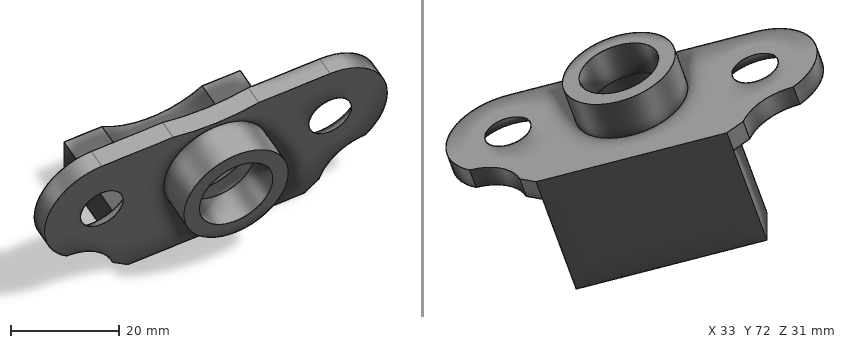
import cadquery as cq
import math

length = 71.95
total_depth = 33.0
height = 31.0

ledge_depth = 21.0
plate_thickness = 4.1
plate_back = ledge_depth + plate_thickness
end_radius = 12.0
end_y = length / 2 - end_radius
end_z = height - end_radius
dip_half_width = 9.0
dip_depth = 0.9

scoop_outer_y = 31.4
scoop_inner_y = 21.65
scoop_inner_z = 2.4
scoop_radius = 10.4

ledge_half_width = 18.5
ledge_height = 9.1
trough_half_width = 10.5
trough_depth = 3.0

screw_radius = 4.45
screw_sink_radius = 8.5

bore_z = 18.2
boss_radius = 10.9
bore_radius = 7.7
bore_sink_radius = 10.65
bore_sink_depth = 4.95


def minor_arc_middle(start, end, radius):
    """Middle of the minor arc that bulges to the left of the line from start to end."""
    dy = end[0] - start[0]
    dz = end[1] - start[1]
    chord = math.hypot(dy, dz)
    bulge = radius - math.sqrt(radius**2 - (chord / 2) ** 2)
    middle_y = (start[0] + end[0]) / 2 - bulge * dz / chord
    middle_z = (start[1] + end[1]) / 2 + bulge * dy / chord
    return (middle_y, middle_z)


def mirrored(point):
    return (-point[0], point[1])


def make_plate():
    scoop_inner = (scoop_inner_y, scoop_inner_z)
    outer_drop = math.sqrt(end_radius**2 - (scoop_outer_y - end_y) ** 2)
    scoop_outer = (scoop_outer_y, end_z - outer_drop)
    scoop_middle = minor_arc_middle(scoop_inner, scoop_outer, scoop_radius)
    end_tip = (length / 2, end_z)
    end_top = (end_y, height)
    return (
        cq.Workplane("YZ", origin=(ledge_depth, 0, 0))
        .moveTo(-ledge_half_width, 0)
        .lineTo(ledge_half_width, 0)
        .lineTo(*scoop_inner)
        .threePointArc(scoop_middle, scoop_outer)
        .threePointArc(end_tip, end_top)
        .lineTo(dip_half_width, height)
        .threePointArc((0, height - dip_depth), (-dip_half_width, height))
        .lineTo(*mirrored(end_top))
        .threePointArc(mirrored(end_tip), mirrored(scoop_outer))
        .threePointArc(mirrored(scoop_middle), mirrored(scoop_inner))
        .close()
        .extrude(plate_thickness)
    )


def make_ledge():
    return (
        cq.Workplane("YZ")
        .moveTo(-ledge_half_width, 0)
        .lineTo(ledge_half_width, 0)
        .lineTo(ledge_half_width, ledge_height)
        .lineTo(trough_half_width, ledge_height)
        .threePointArc((0, ledge_height - trough_depth), (-trough_half_width, ledge_height))
        .lineTo(-ledge_half_width, ledge_height)
        .close()
        .extrude(ledge_depth)
    )


def make_boss():
    return (
        cq.Workplane("YZ", origin=(plate_back, 0, bore_z))
        .circle(boss_radius)
        .extrude(total_depth - plate_back)
    )


def countersunk_hole(y, z, radius, sink_radius, sink_depth, end_x):
    """Cutter along X: a cone narrowing from the plate front, then a straight bore to end_x."""
    sink_end = ledge_depth + sink_depth
    cutter = cq.Workplane(cq.Solid.makeCone(
        sink_radius, radius, sink_depth, pnt=cq.Vector(ledge_depth, y, z), dir=cq.Vector(1, 0, 0)
    ))
    if end_x > sink_end:
        bore = cq.Workplane("YZ", origin=(sink_end, y, z)).circle(radius).extrude(end_x - sink_end)
        cutter = cutter.union(bore)
    return cutter


result = make_plate().union(make_ledge()).union(make_boss())
result = result.cut(
    countersunk_hole(0, bore_z, bore_radius, bore_sink_radius, bore_sink_depth, total_depth)
)
for hole_y in (-end_y, end_y):
    result = result.cut(
        countersunk_hole(hole_y, end_z, screw_radius, screw_sink_radius, plate_thickness, plate_back)
    )